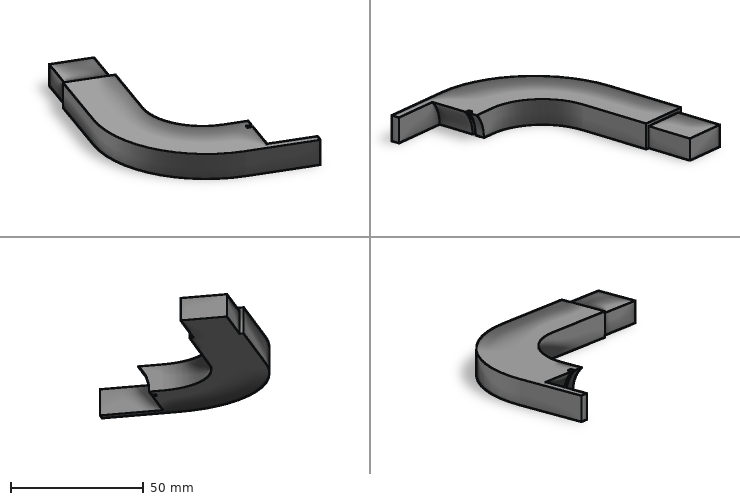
import cadquery as cq

length = 100.0
width = 75.0
height = 10.5

tang_length = 20.0
tang_inset = 1.5

collar_length = 3.0
arm_width = 21.0

outer_radius = 45.0
inner_radius = 24.0
end_width = 25.0
inner_wall_x = length - end_width

plate_thickness = 3.5
seat_radius = 15.0
seat_axis_y = 65.5
plate_face_x = length - plate_thickness

groove_width = 1.5
groove_depth = 1.5
groove_offset = 4.0


def block(x_start, x_end, y_start, y_end, z_end):
    """Box standing on the base plane between the given limits."""
    size = (x_end - x_start, y_end - y_start, z_end)
    return cq.Workplane("XY").box(*size, centered=False).translate((x_start, y_start, 0))


def seat_cylinder(x_start, x_end, radius):
    """Cylinder along X, centred on the seat axis at base level."""
    return (
        cq.Workplane("YZ", origin=(x_start, seat_axis_y, 0))
        .circle(radius)
        .extrude(x_end - x_start)
    )


def make_tang():
    return block(0, tang_length, tang_inset, arm_width - tang_inset, height - tang_inset)


def make_collar():
    return block(tang_length, tang_length + collar_length, 0, arm_width, height)


def make_bend():
    """Straight arm, bend and side plate, with the hinge end still solid up to the seat axis."""
    outline = (
        cq.Workplane("XY")
        .moveTo(tang_length + collar_length, 0)
        .lineTo(length - outer_radius, 0)
        .radiusArc((length, outer_radius), -outer_radius)
        .lineTo(length, width)
        .lineTo(plate_face_x, width)
        .lineTo(plate_face_x, seat_axis_y)
        .lineTo(inner_wall_x, seat_axis_y)
        .lineTo(inner_wall_x, arm_width + inner_radius)
        .radiusArc((inner_wall_x - inner_radius, arm_width), inner_radius)
        .lineTo(tang_length + collar_length, arm_width)
        .close()
    )
    return outline.extrude(height)


def cut_seat(body):
    return body.cut(seat_cylinder(inner_wall_x, plate_face_x, seat_radius))


def cut_groove(body):
    groove_start = inner_wall_x + groove_offset
    groove_end = groove_start + groove_width
    return body.cut(seat_cylinder(groove_start, groove_end, seat_radius + groove_depth))


hinge_arm = cut_groove(cut_seat(make_bend()))
result = hinge_arm.union(make_collar(), clean=False).union(make_tang(), clean=False)